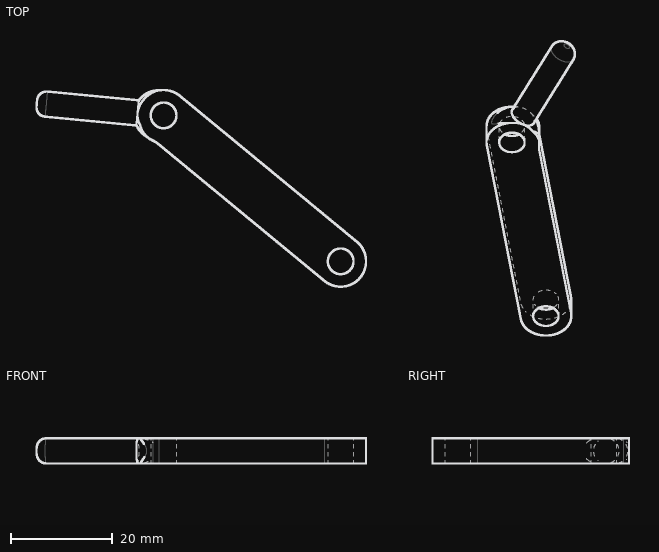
import cadquery as cq
import math

thickness = 5.0
end_radius = 5.0
hole_diameter = 5.0
hole_spacing = 45.0
overall_width = 38.62
hole_drop = overall_width - 2 * end_radius
arm_angle = -math.degrees(math.asin(hole_drop / hole_spacing))

pin_radius = thickness / 2
pin_reach = 25.0
pin_direction = 174.5
tip_fillet = 1.9

swell_radius = 4.9
swell_offset = 0.9

shoulder_start = -2.2
shoulder_crest = -0.5
shoulder_end = 1.6
shoulder_run_out = 2.95
crest_height = 0.25
shoulder_end_height = 0.14
run_out_middle_height = shoulder_end_height / 4
run_out_middle = (shoulder_end + shoulder_run_out) / 2
shoulder_start_y = -math.sqrt(end_radius**2 - shoulder_start**2)


def make_arm():
    """Slot-shaped plate along +X, rounded about both hole centres."""
    return (
        cq.Workplane("XY", origin=(hole_spacing / 2, 0, 0))
        .slot2D(hole_spacing + 2 * end_radius, 2 * end_radius)
        .extrude(thickness / 2, both=True)
    )


def make_shoulder():
    """Full-thickness shoulder: a convex crest, then a concave run-out to the arm side."""
    return (
        cq.Workplane("XY")
        .moveTo(shoulder_start, shoulder_start_y)
        .threePointArc(
            (shoulder_crest, -end_radius - crest_height),
            (shoulder_end, -end_radius - shoulder_end_height),
        )
        .threePointArc(
            (run_out_middle, -end_radius - run_out_middle_height),
            (shoulder_run_out, -end_radius),
        )
        .lineTo(0, 0)
        .close()
        .extrude(thickness / 2, both=True)
    )


def make_pin():
    """Pin along +X from the hole centre, with a rounded tip."""
    return cq.Workplane("YZ").circle(pin_radius).extrude(pin_reach).faces(">X").edges().fillet(tip_fillet)


def make_swell():
    """Ball centred on the pin axis, cut flush with the arm's flat faces."""
    ball = cq.Workplane("XY").sphere(swell_radius)
    flat_slab = cq.Workplane("XY").box(2 * swell_radius, 2 * swell_radius, thickness)
    return ball.intersect(flat_slab).translate((swell_offset, 0, 0))


def make_holes():
    """Through cutters for the two pivot holes."""
    return (
        cq.Workplane("XY", origin=(0, 0, -thickness / 2))
        .pushPoints([(0, 0), (hole_spacing, 0)])
        .circle(hole_diameter / 2)
        .extrude(thickness)
    )


def turn(body, angle):
    """Rotate a body about the first hole's axis."""
    return body.rotate((0, 0, 0), (0, 0, 1), angle)


arm = turn(make_arm().union(make_shoulder()), arm_angle)
handle = turn(make_pin().union(make_swell()), pin_direction)
result = arm.union(handle).cut(turn(make_holes(), arm_angle))